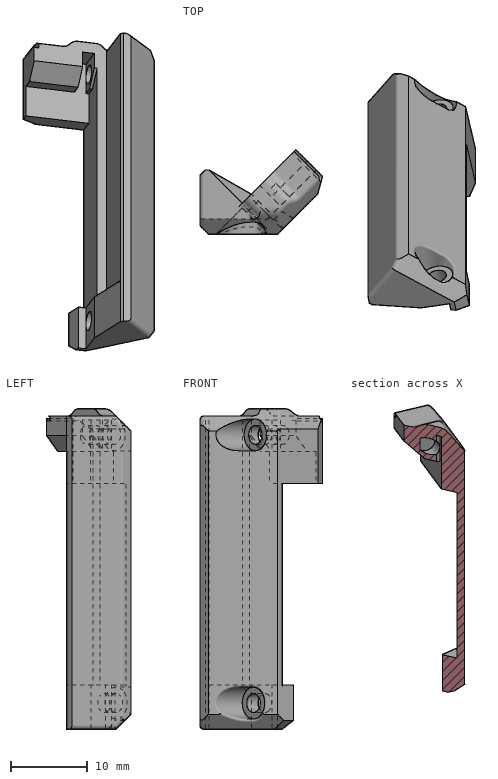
import cadquery as cq
import math

HEIGHT = 41.9
BODY_TOP = 40.95
BODY_DEPTH = 8.42
REACH = 25.15
ROOT_2 = math.sqrt(2)

FRONT_CORNER = 1.15
BACK_CORNER = 0.7
FRONT_WIDTH = 10.15
WALL_BACK = 6.8
BOSS_BACK = 8.1
LEFT_EDGE_RADIUS = 0.55

FOOT_HEIGHT = 5.82
FOOT_TIP_X = 12.25
FOOT_EDGE_RADIUS = 0.15

ARM_LEFT = -1.05
ARM_RIGHT = -FRONT_WIDTH / ROOT_2
ARM_END = 16.68
ARM_UNDERSIDE = 36.3
LEG_LEFT = -4.8
LEG_BOTTOM = 32.1
UNDERSIDE_CHAMFER = 2.1
END_BEVEL_LENGTH = 2.05
END_BEVEL_WIDTH = 1.17

CREST_START = 8.25
CREST_END = 10.73
RAMP_LENGTH = 2.1

TOP_SLOPE = 2.95
BOTTOM_SLOPE = 1.95
TOP_SIDE_HEIGHT = 2.7
BOTTOM_SIDE_HEIGHT = 1.17
BOTTOM_SIDE_WIDTH = 1.68
CREST_FRONT_RADIUS = 1.55
ARM_RIGHT_RADIUS = 0.63
SMALL_EDGE_RADIUS = 0.35

CHANNEL_START = 8.45
CHANNEL_END = 10.05
CHANNEL_TOP = 40.45

HOLE_LENGTH = 5.03
HOLE_DIAMETER = 2.47
COUNTERBORE_DIAMETER = 4.15
SCREW_OFFSET = 5.03
UPPER_SCREW_Z = 38.45
UPPER_SEAT_DEPTH = 2.2
LOWER_SCREW_Z = 3.45
LOWER_SEAT_DEPTH = 1.95
LOWER_RIM_RADIUS = 0.25

RIDGE_START = CREST_START - RAMP_LENGTH
RIDGE_END = CREST_END + RAMP_LENGTH
BACK_LEFT = (WALL_BACK * ROOT_2 - BODY_DEPTH, BODY_DEPTH)
FRONT_RIGHT = (FRONT_WIDTH, 0)


def plan(along, across):
    """Point in X, Y for a place given along and across the arm."""
    return ((along - across) / ROOT_2, (along + across) / ROOT_2)


def prism(points, bottom, top):
    """Vertical prism on an X, Y outline."""
    return cq.Workplane("XY").workplane(offset=bottom).polyline(points).close().extrude(top - bottom)


def turned(solid):
    """Turn a solid built with X along and Y across into its place."""
    return solid.rotate((0, 0, 0), (0, 0, 1), 45)


def near_edge(body, point):
    """Edge whose middle is nearest to a point."""
    return body.edges(cq.selectors.NearestToPointSelector(point))


def arm_section(points, start, end):
    """Bar running along the arm, on an (across, Z) outline."""
    bar = cq.Workplane("YZ").workplane(offset=start).polyline(points).close().extrude(end - start)
    return turned(bar)


def column():
    """Main upright: a thin wall on the left and a thicker screw boss on the right."""
    return prism(
        [
            (FRONT_CORNER, 0),
            FRONT_RIGHT,
            plan(BOSS_BACK, ARM_RIGHT),
            plan(BOSS_BACK, ARM_LEFT),
            plan(WALL_BACK, ARM_LEFT),
            BACK_LEFT,
            (BACK_CORNER, BODY_DEPTH),
            (0, BODY_DEPTH - BACK_CORNER),
            (0, FRONT_CORNER),
        ],
        0,
        BODY_TOP,
    )


def round_left_edges(body):
    """Round the rim of the left face except along its back edge."""
    rim = body.faces("<X").edges("not(>Y)")
    return rim.fillet(LEFT_EDGE_RADIUS)


def round_front_top_edge(body):
    """Round the edge between the top face and the sloped front."""
    middle = (FRONT_WIDTH / 2, TOP_SLOPE - (HEIGHT - BODY_TOP), BODY_TOP)
    return near_edge(body, middle).fillet(SMALL_EDGE_RADIUS)


def foot():
    """Block that widens the lower end of the column behind its walls."""
    tip = (FOOT_TIP_X, FOOT_TIP_X - FRONT_WIDTH)
    block = prism([BACK_LEFT, (BACK_LEFT[0], 0), FRONT_RIGHT, tip], 0, FOOT_HEIGHT)
    middle = ((FRONT_WIDTH + FOOT_TIP_X) / 2, tip[1] / 2, FOOT_HEIGHT)
    return near_edge(block, middle).fillet(FOOT_EDGE_RADIUS)


def arm():
    """Arm at the upper end: a slab with a leg under its right side and the ridge on top."""
    section = [
        (ARM_LEFT, HEIGHT),
        (ARM_LEFT, ARM_UNDERSIDE + UNDERSIDE_CHAMFER),
        (ARM_LEFT - UNDERSIDE_CHAMFER, ARM_UNDERSIDE),
        (LEG_LEFT, ARM_UNDERSIDE),
        (LEG_LEFT, LEG_BOTTOM),
        (ARM_RIGHT, LEG_BOTTOM),
        (ARM_RIGHT, HEIGHT),
    ]
    bar = arm_section(section, RIDGE_START, ARM_END)
    bevel = prism(
        [
            plan(ARM_END, ARM_RIGHT),
            plan(ARM_END, ARM_RIGHT + END_BEVEL_WIDTH),
            plan(ARM_END - END_BEVEL_LENGTH, ARM_RIGHT),
        ],
        0,
        HEIGHT,
    )
    front = prism([(0, 0), (REACH, 0), (REACH, -REACH), (0, -REACH)], 0, HEIGHT)
    return bar.cut(bevel).cut(front).intersect(ridge_profile())


def arm_end_rounding():
    """Sliver removed to round the top edge of the arm's end face."""
    sliver = (
        cq.Workplane("XZ", origin=(0, REACH, 0))
        .moveTo(ARM_END, BODY_TOP)
        .lineTo(ARM_END - SMALL_EDGE_RADIUS, BODY_TOP)
        .tangentArcPoint((ARM_END, BODY_TOP - SMALL_EDGE_RADIUS), relative=False)
        .close()
        .extrude(2 * REACH)
    )
    return turned(sliver)


def ridge_profile():
    """Everything below the top line of the arm."""
    half_ramp = RAMP_LENGTH / 2
    middle_height = (HEIGHT + BODY_TOP) / 2
    shape = (
        cq.Workplane("XZ", origin=(0, REACH, 0))
        .moveTo(ARM_END, BODY_TOP)
        .lineTo(RIDGE_END, BODY_TOP)
        .tangentArcPoint((RIDGE_END - half_ramp, middle_height), relative=False)
        .tangentArcPoint((CREST_END, HEIGHT), relative=False)
        .lineTo(CREST_START, HEIGHT)
        .tangentArcPoint((CREST_START - half_ramp, middle_height), relative=False)
        .tangentArcPoint((RIDGE_START, BODY_TOP), relative=False)
        .lineTo(RIDGE_START, 0)
        .lineTo(ARM_END, 0)
        .close()
        .extrude(2 * REACH)
    )
    return turned(shape)


def screw_channel():
    """Passage behind the screw boss that clears the screws."""
    return prism(
        [
            plan(CHANNEL_START, ARM_LEFT),
            plan(CHANNEL_END, ARM_LEFT),
            plan(CHANNEL_END, LEG_LEFT),
            plan(CHANNEL_START, LEG_LEFT),
        ],
        0,
        CHANNEL_TOP,
    )


def top_front_slope():
    """Wedge removed from the front face at the top, rounded over where it meets the crest."""
    on_crest = CREST_FRONT_RADIUS * math.tan(math.pi / 8)
    on_slope = on_crest / ROOT_2
    return (
        cq.Workplane("YZ")
        .moveTo(0, HEIGHT)
        .lineTo(0, HEIGHT - TOP_SLOPE)
        .lineTo(TOP_SLOPE - on_slope, HEIGHT - on_slope)
        .tangentArcPoint((TOP_SLOPE + on_crest, HEIGHT), relative=False)
        .close()
        .extrude(REACH)
    )


def bottom_front_slope():
    """Wedge removed from the front face at the bottom."""
    return cq.Workplane("YZ").polyline([(0, 0), (0, BOTTOM_SLOPE), (BOTTOM_SLOPE, 0)]).close().extrude(REACH)


def side_slope(end_z, height, width):
    """Wedge removed from the slanted right face at one end."""
    return arm_section(
        [(ARM_RIGHT, end_z + height), (ARM_RIGHT + width, end_z), (ARM_RIGHT, end_z)], 0, REACH
    )


def round_side_slope_edge(body):
    """Round the line from the front right corner over the ridge and along the arm, a tangent chain."""
    middle_y = TOP_SLOPE / 2
    middle = (FRONT_WIDTH + TOP_SLOPE - TOP_SIDE_HEIGHT, middle_y, HEIGHT - TOP_SLOPE + middle_y)
    return near_edge(body, middle).fillet(ARM_RIGHT_RADIUS)


def screw_hole(z, seat_depth):
    """Counterbored screw hole along the arm direction, with its mouth also opened straight forward."""
    seat = cq.Vector(SCREW_OFFSET + seat_depth, seat_depth, z)
    axis = cq.Vector(1, 1, 0)
    radius = COUNTERBORE_DIAMETER / 2
    hole = cq.Solid.makeCylinder(HOLE_DIAMETER / 2, HOLE_LENGTH, seat, axis)
    slanted = cq.Solid.makeCylinder(radius, REACH, seat, axis * -1)
    behind_seat = turned(
        cq.Workplane("XY").box(REACH, 2 * REACH, 2 * HEIGHT, centered=(False, True, True))
    ).translate((seat.x, seat.y, 0))
    forward = (
        cq.Workplane("XZ", origin=(seat.x, REACH, z))
        .ellipse(radius / ROOT_2, radius)
        .extrude(2 * REACH)
        .cut(behind_seat)
    )
    between = prism(
        [(seat.x, seat.y), (seat.x - REACH, seat.y - REACH), (seat.x, seat.y - REACH)],
        z - radius,
        z + radius,
    )
    return forward.union(between).union(cq.Workplane(slanted)).union(cq.Workplane(hole))


def round_lower_rim(body):
    """Round the mouth of the lower counterbore on the front face and on the bottom slope."""
    radius = COUNTERBORE_DIAMETER / 2
    half_width = 1.4 * radius
    half_depth = 0.33 * radius
    half_height = 1.1 * radius
    rim = cq.selectors.BoxSelector(
        (SCREW_OFFSET - half_width, -half_depth, LOWER_SCREW_Z - half_height),
        (SCREW_OFFSET + half_width, half_depth, LOWER_SCREW_Z + half_height),
    )
    return body.edges(rim).fillet(LOWER_RIM_RADIUS)


column_body = column().cut(top_front_slope()).cut(bottom_front_slope())
column_body = round_front_top_edge(round_left_edges(column_body))

result = column_body.union(foot()).union(arm()).cut(screw_channel())
result = result.cut(top_front_slope()).cut(bottom_front_slope())
result = result.cut(side_slope(HEIGHT, -TOP_SIDE_HEIGHT, TOP_SIDE_HEIGHT / ROOT_2))
result = result.cut(side_slope(0, BOTTOM_SIDE_HEIGHT, BOTTOM_SIDE_WIDTH))
result = round_side_slope_edge(result)
result = result.cut(arm_end_rounding())

result = result.cut(screw_hole(UPPER_SCREW_Z, UPPER_SEAT_DEPTH))
result = result.cut(screw_hole(LOWER_SCREW_Z, LOWER_SEAT_DEPTH))
result = round_lower_rim(result)